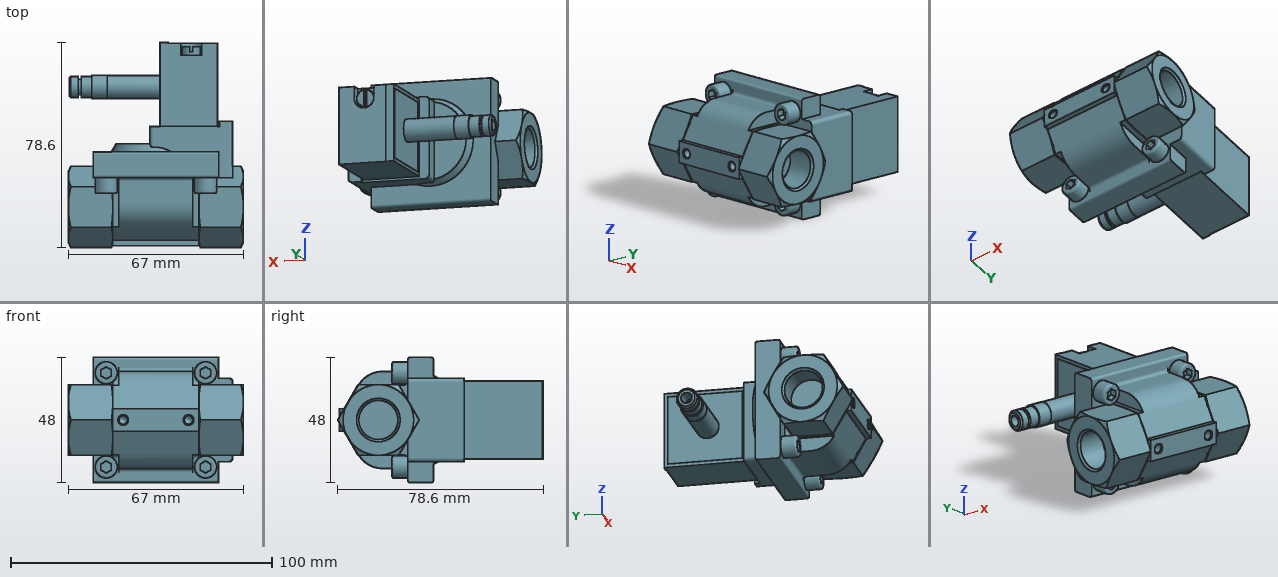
import cadquery as cq
import math


body_length = 67.0
port_hex_flats = 27.0
middle_hex_flats = 26.5
middle_length = 33.0
middle_hex_edge_z = middle_hex_flats / 2
middle_hex_edge_y = -middle_hex_edge_z * math.tan(math.radians(30))
port_outer_chamfer = 1.0
port_inner_chamfer = 0.5
port_bore_diameter = 14.95
port_bore_mouth_diameter = 16.66
port_bore_depth = 12.0

flange_size = 48.0
flange_bottom_y = 11.2
flange_top_y = 21.1
flange_edge_radius = 1.0

neck_fillet = 2.0
chamber_length = 28.2
chamber_half_height = 18.6
chamber_arc_start_y = 1.6
chamber_fillet = 1.4

pad_width = 8.6
pad_face_y = -14.9
pad_hole_spacing = 25.0
pad_hole_diameter = 3.24
pad_hole_mouth_diameter = 4.0
pad_hole_depth = 6.5
drill_tip_angle = 118.0

screw_spacing_x = 38.0
screw_spacing_z = 36.0
screw_head_diameter = 8.46
screw_head_height = 6.0
screw_head_fillet = 0.75
socket_flats = 4.0
socket_depth = 3.0

cover_base_radius = 17.0
cover_top_radius = 15.2
cover_top_y = 24.2

pilot_left_x = -2.4
pilot_right_x = 29.4
pilot_top_y = 30.8
pilot_height = 32.0
pilot_edge_radius = 1.5
lip_left_x = 24.3
lip_top_y = 32.8

coil_left_x = 1.5
coil_right_x = 23.6
coil_height = 30.0
coil_top_y = 62.7
coil_rim_top_y = 63.0
coil_rim_thickness = 3.2
coil_panel_border = 1.4
coil_panel_depth = 0.1

coil_pocket_x = 13.5
coil_pocket_z = 10.5
coil_pocket_width = 8.0
coil_pocket_floor_y = 58.1
coil_screw_diameter = 6.8
coil_screw_top_y = 61.2
coil_screw_slot_width = 1.2
coil_screw_slot_depth = 1.8

pin_y = 45.9
pin_tip_x = -33.2
pin_tip_chamfer = 0.7
pin_groove_start_x = -29.6
pin_groove_end_x = -28.6
pin_shoulder_x = -24.45
pin_sleeve_x = -18.6
pin_end_diameter = 8.1
pin_groove_diameter = 6.0
pin_shoulder_diameter = 9.0
pin_sleeve_diameter = 8.9
pin_hole_diameter = 4.3
pin_hole_depth = 8.0


def box_between(x_range, y_range, z_range):
    """Axis-aligned box given by its limits along each axis."""
    x_size, y_size, z_size = (high - low for low, high in (x_range, y_range, z_range))
    corner = (x_range[0], y_range[0], z_range[0])
    return cq.Workplane("XY").box(x_size, y_size, z_size, centered=False).translate(corner)


def plane_facing_up_y(x, y, z):
    """Workplane for sketches in X and Z; a negative extrusion runs toward +Y."""
    return cq.Workplane("XZ", origin=(x, y, z))


def round_about_x(profile, axis_y=0.0):
    """Turn (x, radius) points, starting and ending on the axis, about a line along X."""
    points = [(x, axis_y + radius) for x, radius in profile]
    return cq.Workplane("XY").polyline(points).close().revolve(360, (0, axis_y), (1, axis_y))


def hex_corner_diameter(flats):
    """Diameter through the corners of a hexagon given its width across flats."""
    return flats / math.cos(math.radians(30))


def drill_tip_length(diameter):
    """Height of the cone that a drill of this diameter leaves."""
    return diameter / 2 / math.tan(math.radians(drill_tip_angle / 2))


def make_port(side):
    """One hexagonal end with both faces chamfered; side is -1 or +1."""
    inner_x = middle_length / 2
    outer_x = body_length / 2
    face_radius = port_hex_flats / 2
    corner_diameter = hex_corner_diameter(port_hex_flats)
    corner_radius = corner_diameter / 2
    prism = (
        cq.Workplane("YZ", origin=(inner_x, 0, 0))
        .polygon(6, corner_diameter)
        .extrude(outer_x - inner_x)
    )
    envelope = round_about_x([
        (inner_x, 0),
        (inner_x, face_radius),
        (inner_x + port_inner_chamfer, corner_radius),
        (outer_x - port_outer_chamfer, corner_radius),
        (outer_x, face_radius),
        (outer_x, 0),
    ])
    port = prism.intersect(envelope)
    if side < 0:
        port = port.mirror("YZ")
    return port


def make_port_bore(side):
    """Blind threaded bore with a 45 degree mouth chamfer."""
    bore_radius = port_bore_diameter / 2
    mouth_radius = port_bore_mouth_diameter / 2
    outer_x = body_length / 2
    bore = round_about_x([
        (outer_x - port_bore_depth, 0),
        (outer_x - port_bore_depth, bore_radius),
        (outer_x - (mouth_radius - bore_radius), bore_radius),
        (outer_x, mouth_radius),
        (outer_x, 0),
    ])
    if side < 0:
        bore = bore.mirror("YZ")
    return bore


def make_flared_wall(length, foot_y, half_height, fillet_radius):
    """Block whose straight sides rise from the foot and curve outward to meet the flange."""
    half = (
        cq.Workplane("YZ", origin=(-length / 2, 0, 0))
        .moveTo(foot_y, 0)
        .lineTo(foot_y, half_height)
        .lineTo(flange_bottom_y - fillet_radius, half_height)
        .tangentArcPoint((fillet_radius, fillet_radius))
        .lineTo(flange_bottom_y, 0)
        .close()
        .extrude(length)
    )
    return half.union(half.mirror("XY"))


def make_middle():
    """Hexagonal bar between the ports, cut flat at the pad, with a neck up to the flange."""
    corner_diameter = hex_corner_diameter(middle_hex_flats)
    bar = (
        cq.Workplane("YZ", origin=(-middle_length / 2, 0, 0))
        .polygon(6, corner_diameter)
        .extrude(middle_length)
    )
    corner_beyond_pad = box_between(
        (-middle_length / 2, middle_length / 2),
        (-corner_diameter / 2, pad_face_y),
        (-pad_width / 2, pad_width / 2),
    )
    neck = make_flared_wall(middle_length, middle_hex_edge_y, middle_hex_edge_z, neck_fillet)
    return bar.cut(corner_beyond_pad).union(neck)


def make_chamber():
    """Swollen chamber: round toward the hexagon, flared toward the flange."""
    round_half = (
        cq.Workplane("YZ", origin=(-chamber_length / 2, 0, 0))
        .moveTo(flange_bottom_y, 0)
        .lineTo(flange_bottom_y, chamber_half_height)
        .lineTo(chamber_arc_start_y, chamber_half_height)
        .tangentArcPoint((middle_hex_edge_y, middle_hex_edge_z), relative=False)
        .lineTo(middle_hex_edge_y, 0)
        .close()
        .extrude(chamber_length)
    )
    walls = make_flared_wall(chamber_length, chamber_arc_start_y, chamber_half_height, chamber_fillet)
    return walls.union(round_half).union(round_half.mirror("XY"))


def make_flange():
    """Square plate with its edges along X rounded."""
    flange = box_between(
        (-flange_size / 2, flange_size / 2),
        (flange_bottom_y, flange_top_y),
        (-flange_size / 2, flange_size / 2),
    )
    return flange.edges("|X").fillet(flange_edge_radius)


def make_pad():
    """Flat-faced mounting strip along the middle."""
    return box_between(
        (-middle_length / 2, middle_length / 2),
        (pad_face_y, 0),
        (-pad_width / 2, pad_width / 2),
    )


def make_pad_hole(x):
    """Tapped hole with a conical mouth and a drilled tip, opening toward -Y."""
    hole_radius = pad_hole_diameter / 2
    mouth_radius = pad_hole_mouth_diameter / 2
    tip_y = pad_face_y + pad_hole_depth + drill_tip_length(pad_hole_diameter)
    profile = [
        (0, pad_face_y),
        (mouth_radius, pad_face_y),
        (hole_radius, pad_face_y + mouth_radius - hole_radius),
        (hole_radius, pad_face_y + pad_hole_depth),
        (0, tip_y),
    ]
    hole = cq.Workplane("XY").polyline(profile).close().revolve(360, (0, 0), (0, 1))
    return hole.translate((x, 0, 0))


def make_flange_screw(x, z):
    """Screw head under the flange with a hexagon socket whose corners point along Z."""
    head_bottom_y = flange_bottom_y - screw_head_height
    head = (
        plane_facing_up_y(x, head_bottom_y, z)
        .circle(screw_head_diameter / 2)
        .extrude(-screw_head_height)
    )
    head = head.faces("<Y").edges().fillet(screw_head_fillet)
    socket = (
        plane_facing_up_y(x, head_bottom_y, z)
        .transformed(rotate=(0, 0, 90))
        .polygon(6, hex_corner_diameter(socket_flats))
        .extrude(-socket_depth)
    )
    return head.cut(socket)


def make_cover():
    """Truncated cone centred on the flange."""
    profile = [
        (0, flange_top_y),
        (cover_base_radius, flange_top_y),
        (cover_top_radius, cover_top_y),
        (0, cover_top_y),
    ]
    return cq.Workplane("XY").polyline(profile).close().revolve(360, (0, 0), (0, 1))


def make_pilot_block():
    """Block beside and above the flange, with a raised lip on its right side."""
    z_range = (-pilot_height / 2, pilot_height / 2)
    upper = box_between((pilot_left_x, pilot_right_x), (flange_top_y, pilot_top_y), z_range)
    side = box_between((flange_size / 2, pilot_right_x), (flange_bottom_y, pilot_top_y), z_range)
    lip = box_between((lip_left_x, pilot_right_x), (pilot_top_y, lip_top_y), z_range)
    return upper.union(side).union(lip).edges("|Y and (<X or >X)").fillet(pilot_edge_radius)


def make_coil():
    """Coil housing with a rim along its left edge and a shallow panel in its left face."""
    z_range = (-coil_height / 2, coil_height / 2)
    housing = box_between((coil_left_x, coil_right_x), (pilot_top_y, coil_top_y), z_range)
    rim_x_range = (coil_left_x, coil_left_x + coil_rim_thickness)
    housing = housing.union(box_between(rim_x_range, (pilot_top_y, coil_rim_top_y), z_range))
    panel_half_height = coil_height / 2 - coil_panel_border
    panel = box_between(
        (coil_left_x, coil_left_x + coil_panel_depth),
        (pilot_top_y + coil_panel_border, coil_rim_top_y - coil_panel_border),
        (-panel_half_height, panel_half_height),
    )
    return housing.cut(panel)


def make_coil_pocket():
    """Round-ended pocket sunk from the top of the coil and open toward +Z."""
    pocket_depth = coil_top_y - coil_pocket_floor_y
    round_end = (
        plane_facing_up_y(coil_pocket_x, coil_pocket_floor_y, coil_pocket_z)
        .circle(coil_pocket_width / 2)
        .extrude(-pocket_depth)
    )
    opening = box_between(
        (coil_pocket_x - coil_pocket_width / 2, coil_pocket_x + coil_pocket_width / 2),
        (coil_pocket_floor_y, coil_top_y),
        (coil_pocket_z, coil_height / 2),
    )
    return round_end.union(opening)


def make_coil_screw():
    """Cheese-head screw standing on the pocket floor, slotted along Z."""
    screw = (
        plane_facing_up_y(coil_pocket_x, coil_pocket_floor_y, coil_pocket_z)
        .circle(coil_screw_diameter / 2)
        .extrude(-(coil_screw_top_y - coil_pocket_floor_y))
    )
    slot = box_between(
        (coil_pocket_x - coil_screw_slot_width / 2, coil_pocket_x + coil_screw_slot_width / 2),
        (coil_screw_top_y - coil_screw_slot_depth, coil_screw_top_y),
        (coil_pocket_z - coil_screw_diameter / 2, coil_pocket_z + coil_screw_diameter / 2),
    )
    return screw.cut(slot)


def make_pin():
    """Stepped, grooved pin along X with a blind hole in its tip."""
    end_radius = pin_end_diameter / 2
    groove_radius = pin_groove_diameter / 2
    shoulder_radius = pin_shoulder_diameter / 2
    sleeve_radius = pin_sleeve_diameter / 2
    root_x = coil_left_x + coil_panel_depth
    pin = round_about_x([
        (pin_tip_x, 0),
        (pin_tip_x, end_radius - pin_tip_chamfer),
        (pin_tip_x + pin_tip_chamfer, end_radius),
        (pin_groove_start_x, end_radius),
        (pin_groove_start_x, groove_radius),
        (pin_groove_end_x, groove_radius),
        (pin_groove_end_x, end_radius),
        (pin_shoulder_x, end_radius),
        (pin_shoulder_x, shoulder_radius),
        (pin_sleeve_x, shoulder_radius),
        (pin_sleeve_x, sleeve_radius),
        (root_x, sleeve_radius),
        (root_x, 0),
    ], pin_y)
    hole_radius = pin_hole_diameter / 2
    hole_end_x = pin_tip_x + pin_hole_depth
    hole = round_about_x([
        (pin_tip_x, 0),
        (pin_tip_x, hole_radius),
        (hole_end_x, hole_radius),
        (hole_end_x + drill_tip_length(pin_hole_diameter), 0),
    ], pin_y)
    return pin.cut(hole)


body = make_middle().union(make_chamber()).union(make_flange()).union(make_pad())
for side in (-1, 1):
    body = body.union(make_port(side)).cut(make_port_bore(side))
    body = body.cut(make_pad_hole(side * pad_hole_spacing / 2))
for screw_x in (-screw_spacing_x / 2, screw_spacing_x / 2):
    for screw_z in (-screw_spacing_z / 2, screw_spacing_z / 2):
        body = body.union(make_flange_screw(screw_x, screw_z))

coil = make_coil().cut(make_coil_pocket()).union(make_coil_screw()).union(make_pin())
result = body.union(make_cover()).union(make_pilot_block()).union(coil)